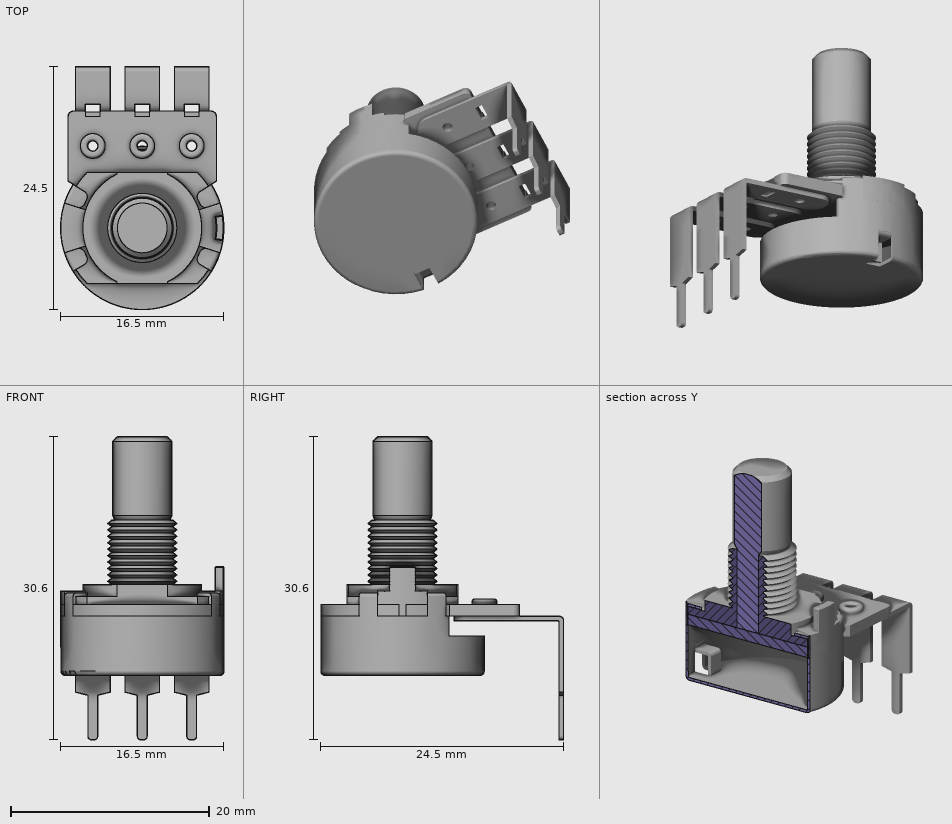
import cadquery as cq
import math


OVERALL_DEPTH = 24.5
OVERALL_HEIGHT = 30.6

CAN_RADIUS = 16.5 / 2
CAN_INNER_RADIUS = 15.8 / 2
SHEET = CAN_RADIUS - CAN_INNER_RADIUS
CAN_HEIGHT = 6.0
CAN_BOTTOM_FILLET = 0.45
WINDOW_Y = 4.7
WINDOW_SILL = 4.0

STOP_WIDTH = 1.68
STOP_SLOT_TOP = 2.88
STOP_OFFSET = 2.0
STOP_INNER_BEND = 0.1
STOP_OUTER_BEND = STOP_INNER_BEND + SHEET
STOP_RECESS = 0.05
STOP_FACE_X = STOP_RECESS - CAN_RADIUS
STOP_LEG_X = STOP_FACE_X + STOP_OFFSET

EAR_HALF_ANGLE = 17.7
CRIMP_END_ANGLE = 32.2
CRIMP_INNER_RADIUS = 6.3
CRIMP_BEND = 0.4
CRIMP_CORNER = 0.6

BOARD_THICKNESS = 1.2
BOARD_TOP = CAN_HEIGHT + BOARD_THICKNESS
TAIL_WIDTH = 15.0
TAIL_END_Y = 11.8
TAIL_CORNER = 0.6

PLATE_THICKNESS = 0.8
PLATE_TOP = BOARD_TOP + PLATE_THICKNESS
PLATE_WIDTH = 11.23
EAR_TOP = 8.5
EAR_DIRECTIONS = [0, 180]
TONGUE_HALF_ANGLE = 2.4
BOSS_RADIUS = 6.0
BOSS_FLAT_LENGTH = 5.08
BOSS_TOP = 9.18
THREAD_CREST_RADIUS = 3.5
THREAD_ROOT_RADIUS = 3.1
THREAD_TURNS = 10
BUSHING_TOP = 15.67
POST_INNER_RADIUS = 7.45
POST_HALF_ANGLE = 9.0
POST_TOP = 11.02
POST_CHAMFER = 0.1

CRIMP_TOP = PLATE_TOP + SHEET
CRIMP_BEND_START = CRIMP_TOP - CRIMP_BEND

SHAFT_RADIUS = 3.0
SHAFT_TOP = 24.1
SHAFT_TOP_CHAMFER = 0.5
SHAFT_NECK_RADIUS = 2.78
SHAFT_SHOULDER = 16.15

TERMINAL_PITCH = 5.0
TERMINAL_POSITIONS = [-TERMINAL_PITCH, 0, TERMINAL_PITCH]
TERMINAL_THICKNESS = 0.5
TERMINAL_BOTTOM = CAN_HEIGHT - TERMINAL_THICKNESS
TERMINAL_WIDTH = 3.52
TERMINAL_BACK_Y = OVERALL_DEPTH - CAN_RADIUS
TERMINAL_FRONT_Y = 5.2
TERMINAL_FRONT_CORNER = 1.5
TERMINAL_OUTER_BEND = 0.5
TERMINAL_INNER_BEND = 0.1
SHOULDER_Z = -1.68
PIN_START_Z = -2.0
PIN_END_Z = SHAFT_TOP - OVERALL_HEIGHT
PIN_WIDTH = 1.0
PIN_TIP_FILLET = 0.37
LUG_WIDTH = 1.5
LUG_FRONT_Y = 11.23
LUG_BACK_Y = LUG_FRONT_Y + TERMINAL_THICKNESS
LUG_SLOT_END_Y = 12.45
RIVET_Y = 8.25
RIVET_HOLE_DIAMETER = 1.0
RIVET_TUBE_DIAMETER = 1.5
RIVET_HEAD_DIAMETER = 2.5
RIVET_HEAD_HEIGHT = 0.55
RIVET_OUTER_FILLET = 0.3
RIVET_INNER_FILLET = 0.28

CLEAR = 1.53


def box(x_range, y_range, z_range):
    """Axis-aligned block given by its limits along each axis."""
    (x0, x1), (y0, y1), (z0, z1) = x_range, y_range, z_range
    return cq.Workplane("XY").box(x1 - x0, y1 - y0, z1 - z0, centered=False).translate((x0, y0, z0))


def cylinder(radius, z0, z1):
    return cq.Workplane("XY").workplane(offset=z0).circle(radius).extrude(z1 - z0)


def sector(r_inner, r_outer, start_angle, end_angle, z0, z1):
    """Piece of a ring around Z between two radial flanks, angles in degrees from +X."""
    ring_section = cq.Workplane("XZ").moveTo(r_inner, z0).rect(r_outer - r_inner, z1 - z0, centered=False)
    turned = ring_section.revolve(end_angle - start_angle, (0, 0, 0), (0, 1, 0))
    return turned.rotate((0, 0, 0), (0, 0, 1), start_angle)


def four_way(shape):
    """The shape and its mirror images across the XZ and YZ planes."""
    both_y = [shape, shape.mirror("XZ")]
    return both_y + [copy.mirror("YZ") for copy in both_y]



def crimp_fold():
    """Bent end of a crimp tab, from the top of its upright strip inwards over the plate."""
    bend_mid = CRIMP_BEND * (1 - math.sqrt(0.5))
    section = (
        cq.Workplane("XZ")
        .moveTo(CAN_INNER_RADIUS, CRIMP_BEND_START)
        .lineTo(CAN_RADIUS, CRIMP_BEND_START)
        .threePointArc((CAN_RADIUS - bend_mid, CRIMP_TOP - bend_mid), (CAN_RADIUS - CRIMP_BEND, CRIMP_TOP))
        .lineTo(CRIMP_INNER_RADIUS, CRIMP_TOP)
        .lineTo(CRIMP_INNER_RADIUS, PLATE_TOP)
        .lineTo(CAN_INNER_RADIUS, PLATE_TOP)
        .close()
    )
    fold = section.revolve(CRIMP_END_ANGLE - EAR_HALF_ANGLE, (0, 0, 0), (0, 1, 0))
    fold = fold.rotate((0, 0, 0), (0, 0, 1), EAR_HALF_ANGLE)
    for angle in (EAR_HALF_ANGLE, CRIMP_END_ANGLE):
        flank = math.radians(angle)
        corner = (
            CRIMP_INNER_RADIUS * math.cos(flank),
            CRIMP_INNER_RADIUS * math.sin(flank),
            PLATE_TOP + SHEET / 2,
        )
        fold = fold.edges(cq.selectors.NearestToPointSelector(corner)).fillet(CRIMP_CORNER)
    return fold


def stop_tab():
    """Strip stepping inwards below the slot top, then down to the floor level."""
    web_bottom = STOP_SLOT_TOP - STOP_OUTER_BEND
    web_top = web_bottom + SHEET
    root_z = STOP_SLOT_TOP + SHEET
    inner_x = STOP_FACE_X + SHEET
    tab = (
        cq.Workplane("XZ", origin=(0, STOP_WIDTH / 2, 0))
        .moveTo(STOP_FACE_X, root_z)
        .lineTo(STOP_FACE_X, web_bottom)
        .lineTo(STOP_LEG_X, web_bottom)
        .lineTo(STOP_LEG_X, SHEET)
        .lineTo(STOP_LEG_X + SHEET, SHEET)
        .lineTo(STOP_LEG_X + SHEET, web_top)
        .lineTo(inner_x, web_top)
        .lineTo(inner_x, root_z)
        .close()
        .extrude(STOP_WIDTH)
    )
    bends = [
        (STOP_FACE_X, web_bottom, STOP_OUTER_BEND),
        (STOP_LEG_X, web_bottom, STOP_INNER_BEND),
        (STOP_LEG_X + SHEET, web_top, STOP_OUTER_BEND),
        (inner_x, web_top, STOP_INNER_BEND),
    ]
    for x, z, radius in bends:
        tab = tab.edges(cq.selectors.NearestToPointSelector((x, 0, z))).fillet(radius)
    return tab


def make_can():
    can = cylinder(CAN_RADIUS, 0, CRIMP_BEND_START).faces("<Z").edges().fillet(CAN_BOTTOM_FILLET)
    can = can.cut(cylinder(CAN_INNER_RADIUS, SHEET, CRIMP_BEND_START))

    beyond = CAN_RADIUS + CLEAR
    rim_gaps = [
        (-EAR_HALF_ANGLE, EAR_HALF_ANGLE),
        (CRIMP_END_ANGLE, 180 - CRIMP_END_ANGLE),
        (180 - EAR_HALF_ANGLE, 180 + EAR_HALF_ANGLE),
        (180 + CRIMP_END_ANGLE, 360 - CRIMP_END_ANGLE),
    ]
    for start, end in rim_gaps:
        can = can.cut(sector(CAN_INNER_RADIUS - CLEAR, beyond, start, end, CAN_HEIGHT, PLATE_TOP))
    for fold in four_way(crimp_fold()):
        can = can.union(fold)

    can = can.cut(box((-beyond, beyond), (WINDOW_Y, beyond), (WINDOW_SILL, CAN_HEIGHT)))
    half_stop = STOP_WIDTH / 2
    can = can.cut(box((-beyond, STOP_LEG_X + SHEET), (-half_stop, half_stop), (0, STOP_SLOT_TOP)))
    return can.union(stop_tab())



def tongues():
    """Small keys below the ears that locate the bushing in the board."""
    return [
        sector(
            CAN_INNER_RADIUS,
            CAN_RADIUS,
            middle - TONGUE_HALF_ANGLE,
            middle + TONGUE_HALF_ANGLE,
            CAN_HEIGHT,
            BOARD_TOP,
        )
        for middle in EAR_DIRECTIONS
    ]


def threaded_neck():
    """Turned neck with sharp ring-shaped teeth."""
    pitch = (BUSHING_TOP - BOSS_TOP) / THREAD_TURNS
    profile = cq.Workplane("XZ").moveTo(0, BOSS_TOP).lineTo(THREAD_ROOT_RADIUS, BOSS_TOP)
    for turn in range(THREAD_TURNS):
        tooth_bottom = BOSS_TOP + turn * pitch
        profile = profile.lineTo(THREAD_CREST_RADIUS, tooth_bottom + pitch / 2)
        profile = profile.lineTo(THREAD_ROOT_RADIUS, tooth_bottom + pitch)
    return profile.lineTo(0, BUSHING_TOP).close().revolve(360, (0, 0, 0), (0, 1, 0))


def make_bushing():
    half_flats = PLATE_WIDTH / 2
    flats = box((-CAN_RADIUS, CAN_RADIUS), (-half_flats, half_flats), (BOARD_TOP, BOSS_TOP))
    bushing = cylinder(CAN_INNER_RADIUS, BOARD_TOP, PLATE_TOP).intersect(flats)

    half_boss = BOSS_FLAT_LENGTH / 2
    boss = cylinder(BOSS_RADIUS, BOARD_TOP, BOSS_TOP).intersect(flats)
    boss_flats = box((-half_boss, half_boss), (-half_flats, half_flats), (BOARD_TOP, BOSS_TOP))
    bushing = bushing.union(boss).union(boss_flats)

    ear_root = BOSS_RADIUS - SHEET
    for middle in EAR_DIRECTIONS:
        start = middle - EAR_HALF_ANGLE
        end = middle + EAR_HALF_ANGLE
        ear = sector(ear_root, CAN_RADIUS, start, end, BOARD_TOP, EAR_TOP)
        bushing = bushing.union(ear)

    post = sector(POST_INNER_RADIUS, CAN_RADIUS, -POST_HALF_ANGLE, POST_HALF_ANGLE, BOARD_TOP, POST_TOP)
    post = post.faces(">Z").edges().chamfer(POST_CHAMFER)
    bushing = bushing.union(post).union(threaded_neck())
    for tongue in tongues():
        bushing = bushing.union(tongue)
    return bushing.cut(cylinder(SHAFT_NECK_RADIUS, BOARD_TOP, BUSHING_TOP))



def make_shaft():
    return (
        cq.Workplane("XZ")
        .moveTo(0, BOARD_TOP)
        .lineTo(SHAFT_NECK_RADIUS, BOARD_TOP)
        .lineTo(SHAFT_NECK_RADIUS, BUSHING_TOP)
        .lineTo(SHAFT_RADIUS, SHAFT_SHOULDER)
        .lineTo(SHAFT_RADIUS, SHAFT_TOP - SHAFT_TOP_CHAMFER)
        .lineTo(SHAFT_RADIUS - SHAFT_TOP_CHAMFER, SHAFT_TOP)
        .lineTo(0, SHAFT_TOP)
        .close()
        .revolve(360, (0, 0, 0), (0, 1, 0))
    )



def terminal_blank():
    """Flat arm under the board, bent down into a leg that narrows to a solder pin."""
    half_width = TERMINAL_WIDTH / 2
    half_pin = PIN_WIDTH / 2
    leg_front_y = TERMINAL_BACK_Y - TERMINAL_THICKNESS
    arm = box((-half_width, half_width), (TERMINAL_FRONT_Y, TERMINAL_BACK_Y), (TERMINAL_BOTTOM, CAN_HEIGHT))
    arm = arm.edges("|Z and <Y").fillet(TERMINAL_FRONT_CORNER)
    leg = (
        cq.Workplane("XZ", origin=(0, TERMINAL_BACK_Y, 0))
        .moveTo(-half_width, CAN_HEIGHT)
        .lineTo(-half_width, SHOULDER_Z)
        .lineTo(-half_pin, PIN_START_Z)
        .lineTo(-half_pin, PIN_END_Z)
        .lineTo(half_pin, PIN_END_Z)
        .lineTo(half_pin, PIN_START_Z)
        .lineTo(half_width, SHOULDER_Z)
        .lineTo(half_width, CAN_HEIGHT)
        .close()
        .extrude(TERMINAL_THICKNESS)
        .edges("|Y and <Z")
        .fillet(PIN_TIP_FILLET)
    )
    blank = arm.union(leg)
    outer_corner = (0, TERMINAL_BACK_Y, CAN_HEIGHT)
    inner_corner = (0, leg_front_y, TERMINAL_BOTTOM)
    blank = blank.edges(cq.selectors.NearestToPointSelector(outer_corner)).fillet(TERMINAL_OUTER_BEND)
    return blank.edges(cq.selectors.NearestToPointSelector(inner_corner)).fillet(TERMINAL_INNER_BEND)


def rivet():
    """Hollow rivet through the board, with a rounded head on its top."""
    head = cq.Workplane("XY").workplane(offset=BOARD_TOP).circle(RIVET_HEAD_DIAMETER / 2)
    head = head.extrude(RIVET_HEAD_HEIGHT).faces(">Z").edges().fillet(RIVET_OUTER_FILLET)
    tube = cylinder(RIVET_TUBE_DIAMETER / 2, TERMINAL_BOTTOM, BOARD_TOP)
    hole = cylinder(RIVET_HOLE_DIAMETER / 2, TERMINAL_BOTTOM, BOARD_TOP + RIVET_HEAD_HEIGHT)
    body = head.union(tube).cut(hole)
    hole_rim = cq.selectors.RadiusNthSelector(0)
    body = body.faces(">Z").edges(hole_rim).fillet(RIVET_INNER_FILLET)
    return body.translate((0, RIVET_Y, 0))


def make_terminal(x):
    half_lug = LUG_WIDTH / 2
    lug_x = (-half_lug, half_lug)
    terminal = terminal_blank()
    terminal = terminal.cut(box(lug_x, (LUG_BACK_Y, LUG_SLOT_END_Y), (TERMINAL_BOTTOM, CAN_HEIGHT)))
    terminal = terminal.union(box(lug_x, (LUG_FRONT_Y, LUG_BACK_Y), (TERMINAL_BOTTOM, BOARD_TOP)))
    hole = cylinder(RIVET_HOLE_DIAMETER / 2, TERMINAL_BOTTOM, CAN_HEIGHT).translate((0, RIVET_Y, 0))
    return terminal.cut(hole).union(rivet()).translate((x, 0, 0))



def make_board():
    half_tail = TAIL_WIDTH / 2
    tail = box((-half_tail, half_tail), (0, TAIL_END_Y), (CAN_HEIGHT, BOARD_TOP))
    tail = tail.edges("|Z and >Y").fillet(TAIL_CORNER)
    board = cylinder(CAN_RADIUS, CAN_HEIGHT, BOARD_TOP).union(tail)

    crimp_notch = sector(
        CAN_INNER_RADIUS, CAN_RADIUS + CLEAR, EAR_HALF_ANGLE, CRIMP_END_ANGLE, CAN_HEIGHT, BOARD_TOP
    )
    for notch in four_way(crimp_notch):
        board = board.cut(notch)
    for tongue in tongues():
        board = board.cut(tongue)

    half_lug = LUG_WIDTH / 2
    for x in TERMINAL_POSITIONS:
        board = board.cut(
            box((x - half_lug, x + half_lug), (LUG_FRONT_Y, TAIL_END_Y), (CAN_HEIGHT, BOARD_TOP))
        )
        rivet_hole = cylinder(RIVET_TUBE_DIAMETER / 2, CAN_HEIGHT, BOARD_TOP)
        board = board.cut(rivet_hole.translate((x, RIVET_Y, 0)))
    return board


can = make_can()
board = make_board()
bushing = make_bushing()
shaft = make_shaft()
terminals = [make_terminal(x) for x in TERMINAL_POSITIONS]

result = cq.Compound.makeCompound(
    [body.solids().val() for body in (can, board, bushing, shaft, *terminals)]
)